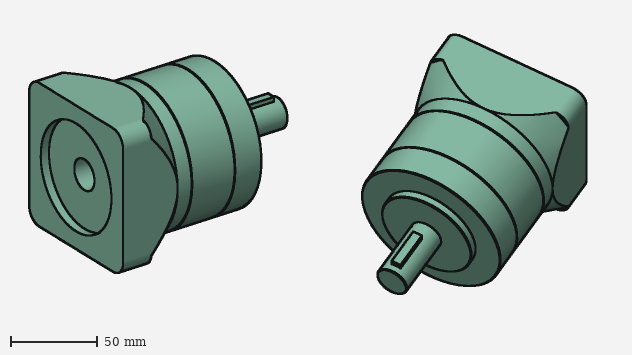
import cadquery as cq
import math

length = 144.5
shaft_length = 39.9
boss_length = 5.2
square_length = 20.4
taper_end = 39.0
adapter_end = 49.3
ring_end = 80.0
shoulder = length - shaft_length - boss_length

width = 93.0
body_radius = width / 2
corner_radius = 10.0
taper_radius = 60.0
boss_diameter = 60.0
shaft_diameter = 20.0
edge_chamfer = 0.5
joint_chamfer = 0.3

key_width = 5.9
key_length = 24.9
key_end_gap = 4.9
key_top = 12.5

pilot_diameter = 70.0
pilot_depth = 5.9
bore_diameter = 20.0
bore_depth = 29.9


def cylinder(radius, start, end):
    """Cylinder about the Y axis between two axial positions."""
    axis_start = cq.Vector(0, start, 0)
    solid = cq.Solid.makeCylinder(radius, end - start, axis_start, cq.Vector(0, 1, 0))
    return cq.Workplane(obj=solid)


def make_motor_adapter():
    """Square motor flange, coned down to the round housing, with pilot recess and bore."""
    square = (
        cq.Workplane("XY")
        .box(width, taper_end, width)
        .translate((0, taper_end / 2, 0))
        .edges("|Y")
        .fillet(corner_radius)
    )
    corner_reach = width * math.sqrt(2) / 2
    cone = cq.Solid.makeCone(
        taper_radius,
        body_radius,
        taper_end - square_length,
        cq.Vector(0, square_length, 0),
        cq.Vector(0, 1, 0),
    )
    envelope = cylinder(corner_reach, 0, square_length).union(cq.Workplane(obj=cone))
    collar = cylinder(body_radius, taper_end, adapter_end).faces(">Y").chamfer(joint_chamfer)
    adapter = square.intersect(envelope).union(collar)
    pilot = cylinder(pilot_diameter / 2, 0, pilot_depth)
    bore = cylinder(bore_diameter / 2, 0, bore_depth)
    return adapter.cut(pilot).cut(bore)


def make_ring_housing():
    """Plain round middle section with broken edges at both joints."""
    return cylinder(body_radius, adapter_end, ring_end).faces("<Y or >Y").chamfer(joint_chamfer)


def make_output_unit():
    """Round front section with its centring boss, output shaft and key."""
    front = cylinder(body_radius, ring_end, shoulder)
    front = front.faces(">Y").chamfer(edge_chamfer).faces("<Y").chamfer(joint_chamfer)
    boss_end = shoulder + boss_length
    boss = cylinder(boss_diameter / 2, shoulder, boss_end).faces(">Y").chamfer(edge_chamfer)
    shaft = cylinder(shaft_diameter / 2, boss_end, length).faces(">Y").chamfer(edge_chamfer)
    key_middle = length - key_end_gap - key_length / 2
    key = (
        cq.Workplane("XY")
        .box(key_width, key_length, key_top, centered=(True, True, False))
        .translate((0, key_middle, 0))
    )
    return front.union(boss).union(shaft).union(key)


motor_adapter = make_motor_adapter()
ring_housing = make_ring_housing()
output_unit = make_output_unit()

result = cq.Compound.makeCompound([motor_adapter.val(), ring_housing.val(), output_unit.val()])